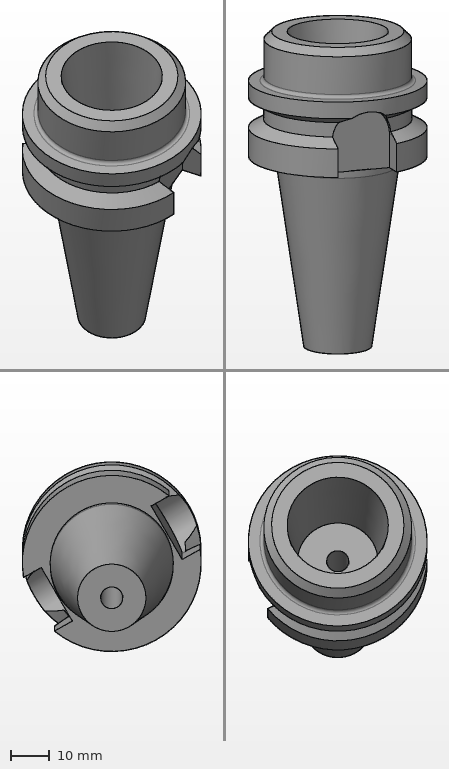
import cadquery as cq
import math

total_height = 83.4
gauge_height = 48.4
flange_bottom = 50.4
groove_lower_edge = 58.0
groove_floor_bottom = 60.1
groove_floor_top = 64.0
groove_upper_edge = 66.0
flange_top = 70.4

gauge_radius = 15.85
taper_on_diameter = 7 / 24
small_end_radius = gauge_radius - gauge_height * taper_on_diameter / 2

flange_radius = 23.0
groove_radius = 19.1

nose_radius = 19.0
nose_chamfer_width = 2.0
nose_chamfer_height = 2.0
nose_fillet = 1.0

slot_width = 16.1
slot_top = 67.4
slot_floor = 16.3

bore_mouth_radius = 13.0
bore_floor_radius = 10.3
bore_depth = 30.0
through_hole_radius = 2.8


def make_body():
    """Revolve the outer half-profile about the Z axis."""
    fillet_middle = nose_fillet * (1 - math.sqrt(0.5))
    profile = (
        cq.Workplane("XZ")
        .moveTo(0, 0)
        .lineTo(small_end_radius, 0)
        .lineTo(gauge_radius, gauge_height)
        .lineTo(gauge_radius, flange_bottom)
        .lineTo(flange_radius, flange_bottom)
        .lineTo(flange_radius, groove_lower_edge)
        .lineTo(groove_radius, groove_floor_bottom)
        .lineTo(groove_radius, groove_floor_top)
        .lineTo(flange_radius, groove_upper_edge)
        .lineTo(flange_radius, flange_top)
        .lineTo(nose_radius + nose_fillet, flange_top)
        .threePointArc(
            (nose_radius + fillet_middle, flange_top + fillet_middle),
            (nose_radius, flange_top + nose_fillet),
        )
        .lineTo(nose_radius, total_height - nose_chamfer_height)
        .lineTo(nose_radius - nose_chamfer_width, total_height)
        .lineTo(0, total_height)
        .close()
    )
    return profile.revolve(360, (0, 0, 0), (0, 1, 0))


def make_drive_slot(side):
    """Round-topped cutter for one drive slot; side is -1 or +1 along X."""
    half_width = slot_width / 2
    arc_center = slot_top - half_width
    return (
        cq.Workplane("YZ", origin=(side * slot_floor, 0, 0))
        .moveTo(-half_width, flange_bottom)
        .lineTo(half_width, flange_bottom)
        .lineTo(half_width, arc_center)
        .threePointArc((0, slot_top), (-half_width, arc_center))
        .close()
        .extrude(side * flange_radius)
    )


def make_bore():
    """Conical collet seat, open at the top and narrowing to a flat floor."""
    floor_height = total_height - bore_depth
    return (
        cq.Workplane("XZ")
        .moveTo(0, floor_height)
        .lineTo(bore_floor_radius, floor_height)
        .lineTo(bore_mouth_radius, total_height)
        .lineTo(0, total_height)
        .close()
        .revolve(360, (0, 0, 0), (0, 1, 0))
    )


def make_through_hole():
    return cq.Workplane("XY").circle(through_hole_radius).extrude(total_height)


result = make_body()
for side in (-1, 1):
    result = result.cut(make_drive_slot(side))
result = result.cut(make_bore()).cut(make_through_hole())